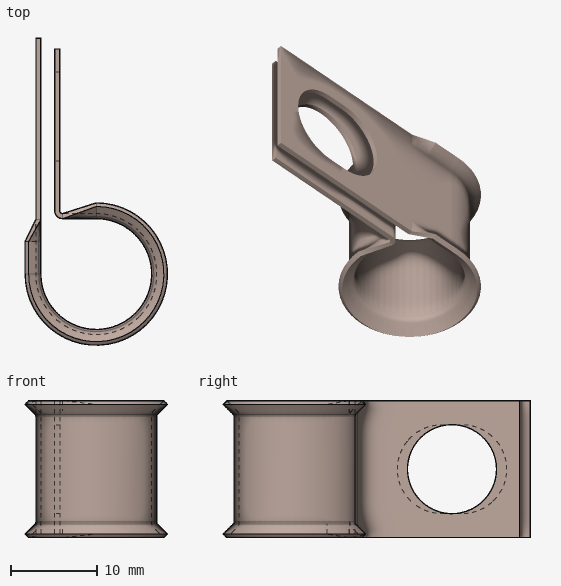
import cadquery as cq
import math

sheet = 0.6
bore_radius = 6.4
barrel_radius = bore_radius + sheet
height = 15.9
half_height = height / 2
wrap_angle = 270
overall_length = 35.62

flare_radius = 8.25
bend_inner = 0.303
bend_outer = bend_inner + sheet
flare_angle = math.radians(45)
tip_step = sheet * math.sin(flare_angle)
bend_tangent = bend_inner * math.tan(flare_angle / 2)
bend_start_z = half_height - tip_step - (flare_radius - barrel_radius) - bend_tangent
bend_center_x = barrel_radius + bend_inner

long_leg_top = overall_length - flare_radius
leg_length_step = 1.25
short_leg_top = long_leg_top - leg_length_step
flared_straight = 3.78
long_leg_flat_start = 6.35
neck_length = 3.92
short_leg_face = -neck_length - bend_inner
bend_center_y = barrel_radius + bend_inner

hole_diameter = 10.3
slot_length = 12.68
opening_y = 18.27


def bend_point(radius, turn):
    """Radius and height on the upper rim bend after turning by an angle."""
    x = bend_center_x - radius * math.cos(turn)
    z = bend_start_z + radius * math.sin(turn)
    return (x, z)


def mirrored(point):
    return (point[0], -point[1])


def flared_section(plane):
    """Wall section with a flare at both edges; local x is the radius."""
    inner_start = bend_point(bend_outer, 0)
    inner_mid = bend_point(bend_outer, flare_angle / 2)
    inner_end = bend_point(bend_outer, flare_angle)
    outer_start = bend_point(bend_inner, 0)
    outer_mid = bend_point(bend_inner, flare_angle / 2)
    outer_end = bend_point(bend_inner, flare_angle)
    inner_tip = (flare_radius - tip_step, half_height)
    outer_tip = (flare_radius, half_height - tip_step)
    return (
        cq.Workplane(plane)
        .moveTo(*mirrored(inner_start))
        .lineTo(*inner_start)
        .threePointArc(inner_mid, inner_end)
        .lineTo(*inner_tip)
        .lineTo(*outer_tip)
        .lineTo(*outer_end)
        .threePointArc(outer_mid, outer_start)
        .lineTo(*mirrored(outer_start))
        .threePointArc(mirrored(outer_mid), mirrored(outer_end))
        .lineTo(*mirrored(outer_tip))
        .lineTo(*mirrored(inner_tip))
        .lineTo(*mirrored(inner_end))
        .threePointArc(mirrored(inner_mid), mirrored(inner_start))
        .close()
    )


def flat_section(plane):
    """Plain sheet section, its edges split to match the flared section."""
    inner_end_z = bend_point(bend_outer, flare_angle)[1]
    outer_end_z = bend_point(bend_inner, flare_angle)[1]
    inner_side = [(bore_radius, z) for z in (bend_start_z, inner_end_z, half_height)]
    outer_side = [(barrel_radius, z) for z in (half_height, outer_end_z, bend_start_z)]
    upper = inner_side + outer_side
    lower = [mirrored(point) for point in reversed(upper)]
    return cq.Workplane(plane).polyline(lower[-1:] + upper + lower[:-1]).close()


def transition(flared_plane, flat_plane):
    """Stretch over which the flares fade into flat sheet."""
    flared_wire = flared_section(flared_plane).val()
    flat_wire = flat_section(flat_plane).val()
    return cq.Workplane(cq.Solid.makeLoft([flared_wire, flat_wire], True))


def long_leg_plane(y):
    return cq.Plane(origin=(0, y, 0), xDir=(-1, 0, 0), normal=(0, 1, 0))


def neck_plane(x):
    return cq.Plane(origin=(x, 0, 0), xDir=(0, 1, 0), normal=(1, 0, 0))


def block(x_min, x_max, y_min, y_max):
    """Full-height block between the given limits."""
    return (
        cq.Workplane("XY", origin=(0, 0, -half_height))
        .moveTo(x_min, y_min)
        .lineTo(x_max, y_min)
        .lineTo(x_max, y_max)
        .lineTo(x_min, y_max)
        .close()
        .extrude(height)
    )


def opening(length):
    """Cutter along X for a screw opening of the given length along Y."""
    cutter = cq.Workplane("YZ", origin=(0, opening_y, 0))
    if length > hole_diameter:
        cutter = cutter.slot2D(length, hole_diameter)
    else:
        cutter = cutter.circle(hole_diameter / 2)
    return cutter.extrude(flare_radius, both=True)


barrel = flared_section(long_leg_plane(0)).revolve(wrap_angle, (0, 0), (0, 1))

long_leg_root = flared_section(long_leg_plane(0)).extrude(flared_straight)
long_leg_fade = transition(long_leg_plane(flared_straight), long_leg_plane(long_leg_flat_start))
long_leg = block(-barrel_radius, -bore_radius, long_leg_flat_start, long_leg_top).cut(opening(slot_length))

neck = transition(neck_plane(0), neck_plane(-neck_length))
bend = (
    cq.Workplane("XY", origin=(-neck_length, bend_center_y, -half_height))
    .circle(bend_outer)
    .circle(bend_inner)
    .extrude(height)
    .intersect(block(-neck_length - bend_outer, -neck_length, bore_radius, bend_center_y))
)
short_leg = block(short_leg_face - sheet, short_leg_face, bend_center_y, short_leg_top)
short_leg = short_leg.cut(opening(hole_diameter))

result = barrel
for piece in (long_leg_root, long_leg_fade, long_leg, neck, bend, short_leg):
    result = result.union(piece)